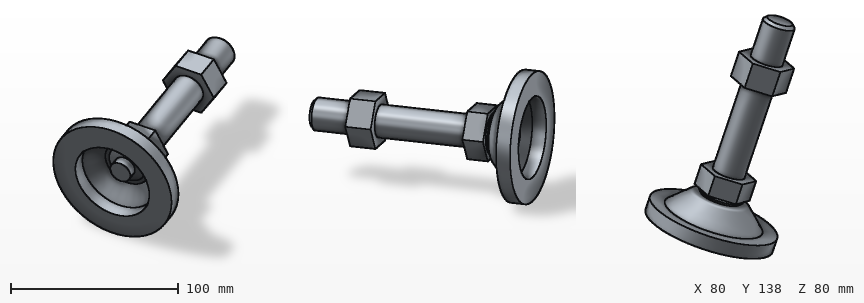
import cadquery as cq
import math


foot_diameter = 80.0
flange_height = 8.8
foot_height = 21.7
cone_bottom_radius = 30.6
cone_top_radius = cone_bottom_radius - (foot_height - flange_height)
foot_rim_fillet = 3.3
recess_radius = 25.0
recess_straight_depth = 8.8
recess_floor_radius = 14.9
recess_depth = recess_straight_depth + recess_radius - recess_floor_radius

stud_length = 138.0
stud_bottom = 10.0
stud_diameter = 20.0
stud_chamfer = 2.1
tip_radius = 6.8
ball_radius = 20.0
collar_radius = 14.1
collar_top_radius = 12.4

nut_across_flats = 30.0
lower_nut_bottom = 25.1
lower_nut_height = 13.0
upper_nut_bottom = 96.0
upper_nut_height = 16.0

collar_y = lower_nut_bottom - (collar_radius - collar_top_radius)
foot_hole_radius = collar_radius - (collar_y - foot_height)

ball_centre_y = recess_depth + math.sqrt(ball_radius**2 - foot_hole_radius**2)
tip_top = ball_centre_y - math.sqrt(ball_radius**2 - tip_radius**2)
ball_mid_radius = (tip_radius + foot_hole_radius) / 2
ball_mid_y = ball_centre_y - math.sqrt(ball_radius**2 - ball_mid_radius**2)


def revolve_about_y(outline):
    """Turn an open (radius, y) outline, closed by a straight line, about the Y axis."""
    return outline.close().revolve(360, (0, 0, 0), (0, 1, 0))


def make_foot():
    """Flanged conical foot, hollow underneath, with a hole for the stud."""
    outline = cq.Workplane("XY").polyline([
        (recess_radius, 0),
        (foot_diameter / 2, 0),
        (foot_diameter / 2, flange_height),
        (cone_bottom_radius, flange_height),
        (cone_top_radius, foot_height),
        (foot_hole_radius, foot_height),
        (foot_hole_radius, recess_depth),
        (recess_floor_radius, recess_depth),
        (recess_radius, recess_straight_depth),
    ])
    outer_rim = cq.selectors.RadiusNthSelector(-1)
    return revolve_about_y(outline).faces(">Y").edges(outer_rim).fillet(foot_rim_fillet)


def make_stud():
    """Rod with a chamfered end, a collar and neck seated in the foot, a ball cap and a tip."""
    rod_radius = stud_diameter / 2
    outline = (
        cq.Workplane("XY")
        .moveTo(0, stud_bottom)
        .lineTo(tip_radius, stud_bottom)
        .lineTo(tip_radius, tip_top)
        .threePointArc((ball_mid_radius, ball_mid_y), (foot_hole_radius, recess_depth))
        .lineTo(foot_hole_radius, foot_height)
        .lineTo(collar_radius, collar_y)
        .lineTo(collar_top_radius, lower_nut_bottom)
        .lineTo(rod_radius, lower_nut_bottom)
        .lineTo(rod_radius, stud_length - stud_chamfer)
        .lineTo(rod_radius - stud_chamfer, stud_length)
        .lineTo(0, stud_length)
    )
    return revolve_about_y(outline)


def make_nut(bottom, height):
    """Hexagonal nut with corners on +X and -X, bored to fit the rod."""
    across_corners = nut_across_flats / math.cos(math.radians(30))
    return (
        cq.Workplane("XZ", origin=(0, bottom, 0))
        .polygon(6, across_corners)
        .circle(stud_diameter / 2)
        .extrude(-height)
    )


foot = make_foot()
stud = make_stud()
nut_positions = [
    (lower_nut_bottom, lower_nut_height),
    (upper_nut_bottom, upper_nut_height),
]
nuts = [make_nut(bottom, height).val() for bottom, height in nut_positions]

result = cq.Compound.makeCompound([foot.val(), stud.val(), *nuts])